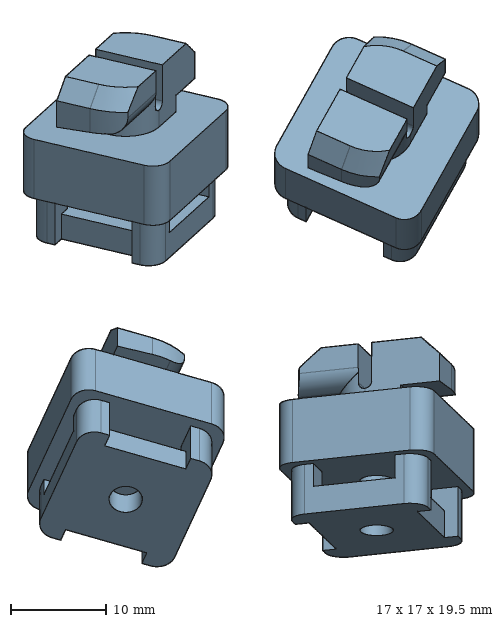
import cadquery as cq

body_side = 17.0
body_height = 7.0
corner_radius = 2.0

base_side = 15.0
base_height = 5.5
window_width = 9.07
plate_height = 2.96
recess_depth = 1.5

head_width = 7.88
head_length = 16.5
head_height = 7.0
chamfer_inset = 2.0
chamfer_drop = 1.95
underside_low = 1.93
underside_rise = 0.6
underside_fillet = 2.0
neck_radius = head_width / 2

slot_width = 1.48
slot_depth = 5.01
hole_diameter = 3.5

body_top = base_height + body_height
total_height = body_top + head_height
slot_round_centre = total_height - slot_depth + slot_width / 2


def block(x_size, y_size, z_bottom, z_top):
    """Box centred on the Z axis between two heights."""
    height = z_top - z_bottom
    base_plane = cq.Workplane("XY").workplane(offset=z_bottom)
    return base_plane.box(x_size, y_size, height, centered=(True, True, False))


def make_body():
    return block(body_side, body_side, base_height, body_top).edges("|Z").fillet(corner_radius)


def make_base():
    base = block(base_side, base_side, 0, base_height).edges("|Z").fillet(corner_radius)
    base = base.cut(block(base_side, window_width, plate_height, base_height))
    base = base.cut(block(window_width, base_side, plate_height, base_height))
    for side in (-1, 1):
        recess = block(window_width, recess_depth, 0, base_height)
        base = base.cut(recess.translate((0, side * (base_side - recess_depth) / 2, 0)))
    return base


def make_wing():
    """The -Y wing: straight on its -X half, round on its +X half."""
    tip = head_length / 2
    half_width = head_width / 2
    profile = (
        cq.Workplane("YZ")
        .moveTo(0, body_top)
        .lineTo(-tip, body_top)
        .lineTo(-tip, total_height - chamfer_drop)
        .lineTo(-tip + chamfer_inset, total_height)
        .lineTo(0, total_height)
        .close()
    )
    straight_half = profile.extrude(-half_width)
    round_half = profile.toPending().revolve(360, (0, 0, 0), (0, 1, 0))
    envelope = (
        cq.Workplane("XZ")
        .moveTo(-half_width, total_height)
        .lineTo(-half_width, body_top + underside_low)
        .lineTo(half_width, body_top + underside_low + underside_rise)
        .lineTo(half_width, total_height)
        .close()
        .extrude(tip)
    )
    envelope = envelope.faces(">X").edges("<Z").fillet(underside_fillet)
    return straight_half.union(round_half).intersect(envelope)


def make_neck():
    """Round neck squared off in the -X -Y and +X +Y quadrants."""
    neck = cq.Workplane("XY").workplane(offset=body_top).circle(neck_radius).extrude(head_height - chamfer_drop)
    for side in (-1, 1):
        square_corner = block(neck_radius, neck_radius, body_top, total_height - chamfer_drop)
        neck = neck.union(square_corner.translate((side * neck_radius / 2, side * neck_radius / 2, 0)))
    return neck


def make_slot():
    """Screwdriver slot along X with a round bottom."""
    slot_radius = slot_width / 2
    channel = block(head_width, slot_width, slot_round_centre, total_height)
    round_bottom = (
        cq.Workplane("YZ").center(0, slot_round_centre).circle(slot_radius).extrude(head_width / 2, both=True)
    )
    return channel.union(round_bottom)


wing = make_wing()
opposite_wing = wing.rotate((0, 0, 0), (0, 0, 1), 180)
head = make_neck().union(wing).union(opposite_wing).cut(make_slot())
centre_hole = cq.Workplane("XY").circle(hole_diameter / 2).extrude(slot_round_centre)

result = make_base().union(make_body()).union(head).cut(centre_hole)